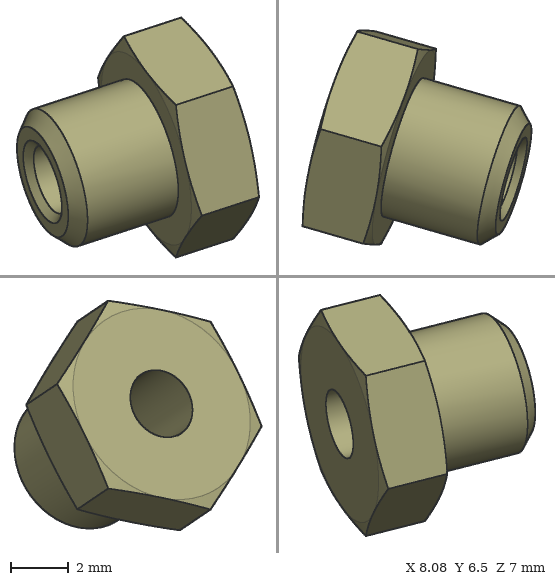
import cadquery as cq
import math

head_sides = 6
across_flats = 7.0
head_thickness = 2.5
corner_chamfer_angle = 15.0

shank_diameter = 5.0
shank_length = 4.0
tip_chamfer = 0.5

bore_diameter = 2.46
countersink_diameter = 3.0
countersink_angle = 90.0

across_corners = across_flats / math.cos(math.pi / head_sides)
corner_overhang = (across_corners - across_flats) / 2
corner_drop = corner_overhang * math.tan(math.radians(corner_chamfer_angle))


def make_head():
    """Hexagon from Y = 0 to +Y, its corners turned conically at both faces."""
    hexagon = cq.Workplane("XZ").polygon(head_sides, across_corners).extrude(-head_thickness)
    flat_radius = across_flats / 2
    corner_radius = across_corners / 2
    turned_envelope = (
        cq.Workplane("XY")
        .lineTo(flat_radius, 0)
        .lineTo(corner_radius, corner_drop)
        .lineTo(corner_radius, head_thickness - corner_drop)
        .lineTo(flat_radius, head_thickness)
        .lineTo(0, head_thickness)
        .close()
        .revolve(360, (0, 0, 0), (0, 1, 0))
    )
    return hexagon.intersect(turned_envelope)


def make_shank():
    """Cylinder from Y = 0 to -Y with a chamfered tip."""
    shank = cq.Workplane("XZ").circle(shank_diameter / 2).extrude(shank_length)
    return shank.faces("<Y").chamfer(tip_chamfer)


def drill_bore(body):
    """Drill through the whole part from the shank tip, with a countersink."""
    tip = body.faces("<Y").workplane(origin=(0, -shank_length, 0))
    return tip.cskHole(bore_diameter, countersink_diameter, countersink_angle)


result = drill_bore(make_head().union(make_shank()))